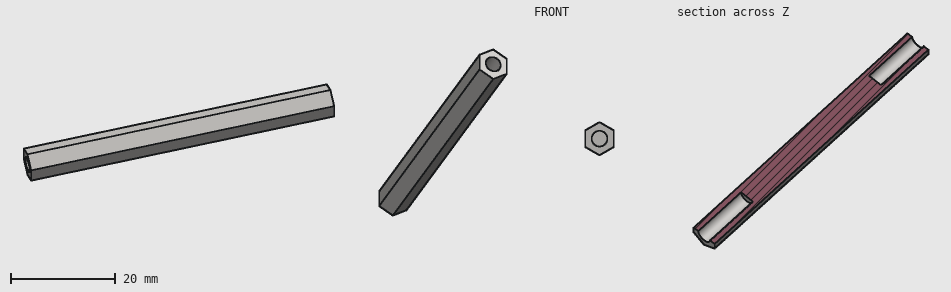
import cadquery as cq
import math

length = 60.0
across_flats = 5.5
across_corners = across_flats / math.cos(math.pi / 6)

hole_diameter = 3.0
hole_depth = 12.0


def rod_along_y(profile, start_y, rod_length):
    """Extrude a profile drawn on an XZ workplane from start_y toward +Y."""
    return profile.extrude(-rod_length).translate((0, start_y, 0))


hexagon = cq.Workplane("XZ").transformed(rotate=(0, 0, 90)).polygon(6, across_corners)
result = rod_along_y(hexagon, -length / 2, length)

for hole_start_y in (-length / 2, length / 2 - hole_depth):
    hole_profile = cq.Workplane("XZ").circle(hole_diameter / 2)
    result = result.cut(rod_along_y(hole_profile, hole_start_y, hole_depth))